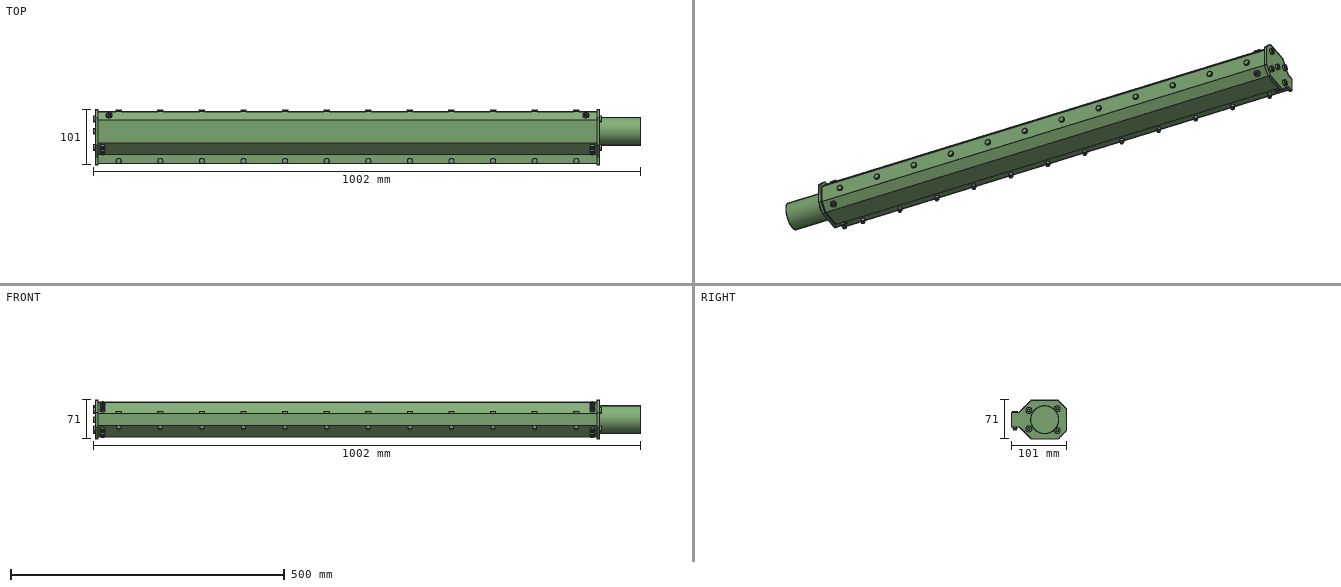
import cadquery as cq
import math

total_length = 1002.0
flat_half_width = 21.0
body_half_height = 32.0
flange_half_height = 11.0
back_y = 36.0
front_y = -59.0

plate_thickness = 5.0

plate_overhang = 3.5
plate_flange_overhang = 2.5
plate_back_overhang = 4.0
plate_front_overhang = 2.0

end_screw_height = 4.0
plate_face_right = 927.0
spigot_diameter = 51.0

plate_face_left = end_screw_height
body_left = plate_face_left + plate_thickness
body_right = plate_face_right - plate_thickness
body_middle = (body_left + body_right) / 2

end_screw_diameter = 11.0
end_screw_places = [(23.0, 20.0), (-29.0, 17.0)]
centre_screw_diameter = 10.0

row_count = 12
row_pitch = 76.0
flange_screw_y = -54.0
flange_head_diameter = 9.5
flange_head_height = 3.5
flange_nut_diameter = 7.6
flange_nut_height = 5.0
flange_tip_diameter = 5.0
flange_tip_height = 3.0
back_head_diameter = 10.0
back_head_height = 3.0

back_slope_screw_diameter = 11.0
back_slope_screw_inset = 20.0
front_slope_screw_diameter = 9.0
front_slope_screw_inset = 8.0
front_slope_screw_spacing = 13.0
back_slope_head_height = 2.5
front_slope_head_height = 5.0

socket_across_corners = 5.0
socket_depth = 2.0

sink = 2.0


def profile(flat, top, flange, back, front):
    """Cross-section in (y, z): 45 degree corners at the back, 45 degree slopes to a flange in front."""
    shoulder_y = -flat - (top - flange)
    upper_half = [
        (back, top - (back - flat)),
        (flat, top),
        (-flat, top),
        (shoulder_y, flange),
        (front, flange),
    ]
    lower_half = [(y, -z) for y, z in reversed(upper_half)]
    return upper_half + lower_half


def extrude_along_x(points, start, length):
    return cq.Workplane("YZ", origin=(start, 0, 0)).polyline(points).close().extrude(length)


def stud(foot, direction, diameter, height):
    """Cylinder standing on a face at foot and pointing in direction."""
    axis = cq.Vector(*direction).normalized()
    start = cq.Vector(*foot) - axis * sink
    return cq.Solid.makeCylinder(diameter / 2, height + sink, start, axis)


def socket_screw(foot, direction, diameter, height):
    """Stud with a hexagon socket sunk into its outer end."""
    axis = cq.Vector(*direction).normalized()
    socket_floor = cq.Vector(*foot) + axis * (height - socket_depth)
    plane = cq.Plane(origin=socket_floor, normal=axis)
    socket = cq.Workplane(plane).polygon(6, socket_across_corners).extrude(socket_depth)
    return stud(foot, direction, diameter, height).cut(socket.val())


def mirrored_ends(inset):
    """X positions at the same distance from both ends of the housing."""
    return [body_left + inset, body_right - inset]


def end_plate_screws():
    """Four screws on each end plate and one more in the middle of the left plate."""
    studs = [socket_screw((plate_face_left, 0, 0), (-1, 0, 0), centre_screw_diameter, end_screw_height)]
    for face_x, outward in [(plate_face_left, -1), (plate_face_right, 1)]:
        for y, z in end_screw_places:
            for side in (1, -1):
                foot = (face_x, y, side * z)
                studs.append(socket_screw(foot, (outward, 0, 0), end_screw_diameter, end_screw_height))
    return studs


def screw_rows():
    """Screws through the flange, with nuts below it, and screws along the back face."""
    studs = []
    for i in range(row_count):
        x = body_middle + (i - (row_count - 1) / 2) * row_pitch
        flange_top = (x, flange_screw_y, flange_half_height)
        flange_bottom = (x, flange_screw_y, -flange_half_height)
        tip_height = flange_nut_height + flange_tip_height
        studs.append(stud(flange_top, (0, 0, 1), flange_head_diameter, flange_head_height))
        studs.append(stud(flange_bottom, (0, 0, -1), flange_nut_diameter, flange_nut_height))
        studs.append(stud(flange_bottom, (0, 0, -1), flange_tip_diameter, tip_height))
        studs.append(stud((x, back_y, 0), (0, 1, 0), back_head_diameter, back_head_height))
    return studs


def slope_screws():
    """Single screws on the back slopes and pairs on the front slopes, above and below."""
    studs = []
    back_drop = (back_y - flat_half_width) / 2
    front_drop = (body_half_height - flange_half_height) / 2
    half_step = front_slope_screw_spacing / 2 * math.sqrt(0.5)
    for side in (1, -1):
        for x in mirrored_ends(back_slope_screw_inset):
            foot = (x, flat_half_width + back_drop, side * (body_half_height - back_drop))
            studs.append(
                socket_screw(foot, (0, 1, side), back_slope_screw_diameter, back_slope_head_height)
            )
        for x in mirrored_ends(front_slope_screw_inset):
            for step in (-half_step, half_step):
                drop = front_drop + step
                foot = (x, -flat_half_width - drop, side * (body_half_height - drop))
                studs.append(
                    socket_screw(foot, (0, -1, side), front_slope_screw_diameter, front_slope_head_height)
                )
    return studs


body_profile = profile(flat_half_width, body_half_height, flange_half_height, back_y, front_y)
plate_profile = profile(
    flat_half_width + plate_overhang,
    body_half_height + plate_overhang,
    flange_half_height + plate_flange_overhang,
    back_y + plate_back_overhang,
    front_y - plate_front_overhang,
)

result = extrude_along_x(body_profile, body_left, body_right - body_left)
for plate_start in (plate_face_left, body_right):
    result = result.union(extrude_along_x(plate_profile, plate_start, plate_thickness))

spigot = (
    cq.Workplane("YZ", origin=(body_right, 0, 0))
    .circle(spigot_diameter / 2)
    .extrude(total_length - body_right)
)
result = result.union(spigot)

for screw in end_plate_screws() + screw_rows() + slope_screws():
    result = result.union(cq.Workplane(screw))